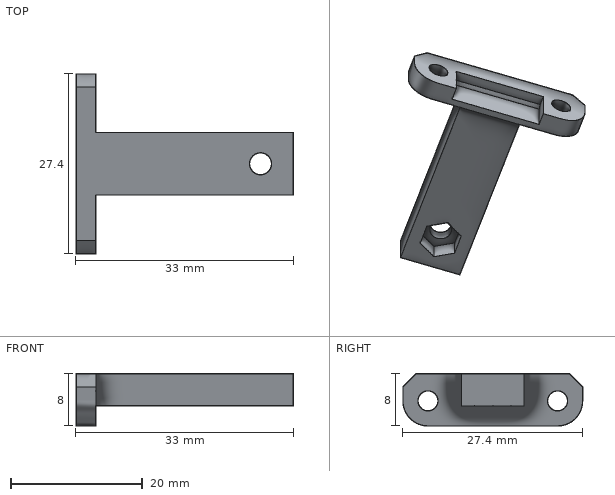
import cadquery as cq
import math

length = 33.0
width = 27.35
height = 8.0

plate_thickness = 3.0
top_chamfer = 2.0
corner_radius = 3.83
mount_hole_diameter = 3.0
mount_hole_y = width / 2 - corner_radius

arm_width = 9.55
arm_height = 4.92
arm_hole_diameter = 3.3
arm_hole_end_distance = 4.98

nut_across_flats = 5.5
nut_pocket_depth = 3.0

recess_width = 13.95
recess_depth = 2.0
recess_height = 4.98
recess_roof_chamfer = 0.53


def make_plate():
    plate = cq.Workplane("XY").box(plate_thickness, width, height, centered=(False, True, False))
    plate = plate.edges("|X and >Z").chamfer(top_chamfer)
    plate = plate.edges("|X and <Z").fillet(corner_radius)
    holes = (
        cq.Workplane("YZ")
        .pushPoints([(-mount_hole_y, corner_radius), (mount_hole_y, corner_radius)])
        .circle(mount_hole_diameter / 2)
        .extrude(plate_thickness)
    )
    return plate.cut(holes)


def make_recess():
    return (
        cq.Workplane("XZ")
        .polyline([
            (0, 0),
            (recess_depth, 0),
            (recess_depth, recess_height - recess_roof_chamfer),
            (recess_depth - recess_roof_chamfer, recess_height),
            (0, recess_height),
        ])
        .close()
        .extrude(recess_width / 2, both=True)
    )


def make_arm():
    arm_bottom = height - arm_height
    arm = (
        cq.Workplane("XY", origin=(recess_depth, 0, arm_bottom))
        .box(length - recess_depth, arm_width, arm_height, centered=(False, True, False))
    )
    hole_base = cq.Workplane("XY", origin=(length - arm_hole_end_distance, 0, arm_bottom))
    hole = hole_base.circle(arm_hole_diameter / 2).extrude(arm_height)
    nut_across_corners = nut_across_flats / math.cos(math.pi / 6)
    nut_pocket = hole_base.polygon(6, nut_across_corners).extrude(nut_pocket_depth)
    return arm.cut(hole).cut(nut_pocket)


result = make_plate().cut(make_recess()).union(make_arm())